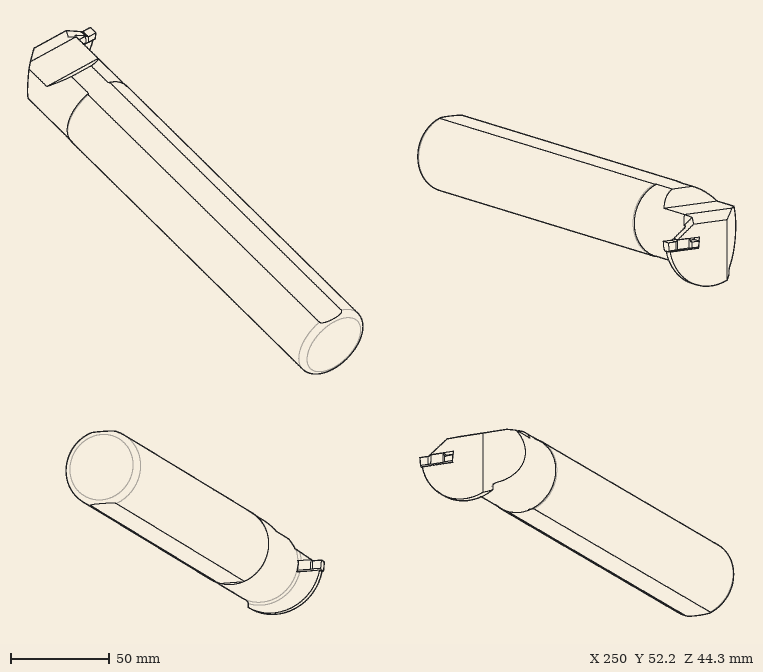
import cadquery as cq
import math


length = 250.0
shank_radius = 20.0
flat_height = 18.8
end_fillet = 3.0

front_setback = 0.2

head_radius = 19.8
head_length = 50.0
cone_length = 0.8

front_top = 7.8
step_top = 11.2
taper_length = 9.2
step_length = 28.0

bevel_start_y = -3.5

blade_radius = 25.5
blade_center_y = 6.0
blade_thickness = 4.0
blade_fillet = 1.2

tip_y = 32.2
insert_length = 19.0
insert_width = 4.8
insert_depth = 5.0
end_slant = 0.5
tip_length = 4.8
ramp_length = 1.2
waist_rise = 0.8
waist_top_inset = 0.8
waist_base_inset = 0.5
inner_tip_drop = 1.2
base_bevel = 0.8
insert_center_y = tip_y - insert_length / 2
inner_y = tip_y - insert_length

floor_angle = 36.0
wall_angle = 37.0
floor_length = 6.0
floor_end_y = 26.5

margin = 2.5
reach = 75.0


def make_round_bar():
    """Head, cone and shank turned about the X axis."""
    outline = [
        (front_setback, 0),
        (front_setback, head_radius),
        (head_length, head_radius),
        (head_length + cone_length, shank_radius),
        (length, shank_radius),
        (length, 0),
    ]
    bar = cq.Workplane("XY").polyline(outline).close().revolve(360, (0, 0), (1, 0))
    return bar.faces(">X").edges().fillet(end_fillet)


def make_blade():
    """Offset disc with a concave fillet where its back meets the head."""
    disc_plane = cq.Workplane("YZ", origin=(front_setback, blade_center_y, 0))
    disc = disc_plane.circle(blade_radius).extrude(blade_thickness - front_setback)
    fillet_end = blade_thickness + blade_fillet
    ring = (
        cq.Workplane("XY")
        .moveTo(blade_thickness, head_radius - blade_fillet)
        .lineTo(blade_thickness, head_radius + blade_fillet)
        .radiusArc((fillet_end, head_radius), -blade_fillet)
        .lineTo(fillet_end, head_radius - blade_fillet)
        .close()
        .revolve(360, (0, 0), (1, 0))
    )
    return disc.union(ring.intersect(disc_plane.circle(blade_radius).extrude(fillet_end)))


def make_flat_cut(side, start_x):
    """Block outside one shank flat; side is +1 for the top, -1 for the bottom."""
    flat_length = length - start_x + margin
    return cq.Workplane("XY").box(flat_length, reach, margin, centered=(False, True, True)).translate(
        (start_x, 0, side * (flat_height + margin / 2))
    )


def make_top_relief():
    """Taper, level step and 45 degree ramp up to the top flat."""
    taper_slope = (step_top - front_top) / taper_length
    ramp_run = reach - step_top
    outline = [
        (-margin, front_top - margin * taper_slope),
        (taper_length, step_top),
        (step_length, step_top),
        (step_length + ramp_run, reach),
        (-margin, reach),
    ]
    return cq.Workplane("XZ").polyline(outline).close().extrude(reach, both=True)


def make_corner_bevel():
    outline = [
        (-margin, bevel_start_y + margin),
        (reach, bevel_start_y - reach),
        (-margin, bevel_start_y - reach),
    ]
    return cq.Workplane("XY").polyline(outline).close().extrude(reach, both=True)


def make_chip_clearance():
    """Prism running along the sloping floor."""
    angle = math.radians(floor_angle)
    floor_plane = cq.Plane(
        origin=(0, floor_end_y, waist_rise),
        xDir=(1, 0, 0),
        normal=(0, -math.cos(angle), math.sin(angle)),
    )
    wall_run = reach / math.tan(math.radians(wall_angle))
    outline = [
        (-margin, 0),
        (floor_length, 0),
        (floor_length + wall_run, reach),
        (-margin, reach),
    ]
    return cq.Workplane(floor_plane).polyline(outline).close().extrude(reach, both=True)


def make_pocket():
    """Seat for the insert, open at the front and at the tip."""
    outline = [
        (inner_y, waist_rise),
        (inner_y, 0),
        (inner_y + end_slant, -insert_depth),
        (tip_y + margin, -insert_depth),
        (tip_y + margin, waist_rise),
    ]
    return cq.Workplane("YZ").polyline(outline).close().extrude(insert_width)


def make_holder():
    holder = make_round_bar().union(make_blade())
    holder = holder.cut(make_flat_cut(1, step_length)).cut(make_flat_cut(-1, head_length))
    holder = holder.cut(make_top_relief()).cut(make_corner_bevel())
    return holder.cut(make_chip_clearance()).cut(make_pocket())


def insert_section(y, top, top_inset, base_inset):
    """Closed cross-section of the insert at y, narrowed on each side by the insets."""
    base_left = base_inset
    base_right = insert_width - base_inset
    outline = [
        (top_inset, top),
        (insert_width - top_inset, top),
        (base_right, base_bevel - insert_depth),
        (base_right - base_bevel, -insert_depth),
        (base_left + base_bevel, -insert_depth),
        (base_left, base_bevel - insert_depth),
    ]
    return cq.Wire.makePolygon([cq.Vector(x, y, z) for x, z in outline], close=True)


def make_insert():
    """Two square-sided tips joined through ramps to a raised, narrower waist."""
    half_length = insert_length / 2
    ramp_start = half_length - tip_length
    waist_half = ramp_start - ramp_length
    stations = [
        (-half_length, -inner_tip_drop, 0, 0),
        (-ramp_start, -inner_tip_drop, 0, 0),
        (-waist_half, waist_rise, waist_top_inset, waist_base_inset),
        (waist_half, waist_rise, waist_top_inset, waist_base_inset),
        (ramp_start, 0, 0, 0),
        (half_length, 0, 0, 0),
    ]
    sections = [insert_section(insert_center_y + y, *shape) for y, *shape in stations]
    blank = cq.Workplane(cq.Solid.makeLoft(sections, True))
    end_outline = [
        (inner_y, 0),
        (inner_y + end_slant, -insert_depth),
        (tip_y - end_slant, -insert_depth),
        (tip_y, 0),
        (tip_y, waist_rise),
        (inner_y, waist_rise),
    ]
    end_trim = cq.Workplane("YZ").polyline(end_outline).close().extrude(insert_width)
    return blank.intersect(end_trim)


holder = make_holder()
insert = make_insert()

result = cq.Compound.makeCompound([holder.val(), insert.val()])